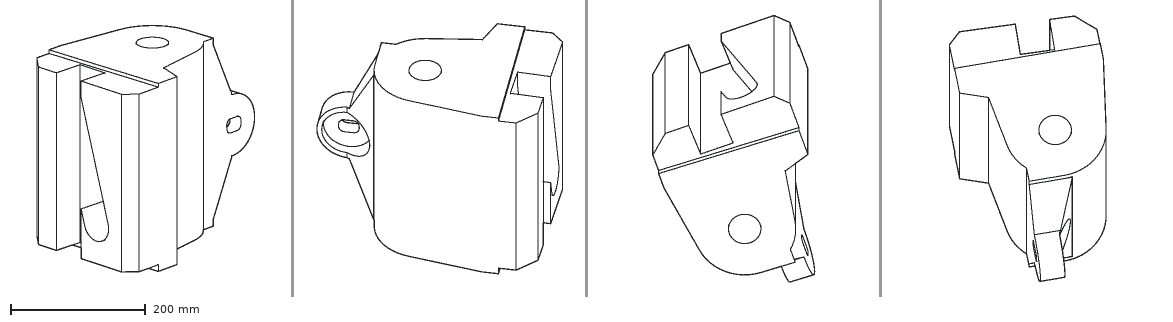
import cadquery as cq
import math

height = 296.0
crown_radius = 75.7
bore_diameter = 48.0
left_side = -92.0
right_side = 128.0
step_y = -127.0
shoulder_y = -85.5
neck_x, neck_y = 87.5, -70.7
flank_angle = 8.6

foot_bottom = 10.5
foot_top = 290.5
left_chamfer_y = -153.5
left_chamfer_x = -63.0
right_chamfer_y = -169.0
right_chamfer_x = 109.3
front_y = -187.5
skew_angle = 2.0

channel_right_x = 25.5
channel_width = 51.3
channel_depth = 50.2
hook_radius = 25.5
hook_x = 57.3
hook_z = 71.8
hook_lean = 16.9
hook_length = 198.0

lug_back_x = 53.5
lug_root_x = -11.5
lug_half_height = 137.0
eye_face_x = 16.3
eye_y = 118.0
eye_radius = 48.0
lug_neck_y = 116.7
recess_y = 120.5
recess_radius = 38.2
recess_depth = 15.0
window_length = 30.8
window_height = 22.3
window_corner = 8.5

mid_z = height / 2
skew_slope = math.tan(math.radians(skew_angle))
crown_x = crown_radius * math.cos(math.radians(flank_angle))
crown_y = crown_radius * math.sin(math.radians(flank_angle))
flank_slope = math.tan(math.radians(flank_angle))
flank_end_y = crown_y - (-left_side - crown_x) / flank_slope


def front_face_y(x):
    return front_y + (right_chamfer_x - x) * skew_slope


def make_body():
    main = (
        cq.Workplane("XY")
        .moveTo(left_side, step_y)
        .lineTo(left_side, flank_end_y)
        .lineTo(-crown_x, crown_y)
        .threePointArc((0, crown_radius), (crown_x, crown_y))
        .lineTo(neck_x, neck_y)
        .lineTo(right_side, shoulder_y)
        .lineTo(right_side, step_y)
        .close()
        .extrude(height)
    )
    corner = cq.Workplane("XY").rect(lug_back_x, crown_radius, centered=False).extrude(height)
    return main.union(corner)


def make_foot():
    outline = [
        (left_side, step_y),
        (left_side, left_chamfer_y),
        (left_chamfer_x, front_face_y(left_chamfer_x)),
        (right_chamfer_x, front_y),
        (right_side, right_chamfer_y),
        (right_side, step_y),
    ]
    foot = cq.Workplane("XY").polyline(outline).close().extrude(foot_top - foot_bottom)
    return foot.translate((0, 0, foot_bottom))


def make_channel_cutter():
    overrun = 17.7
    length = channel_depth + overrun
    channel = cq.Workplane("XY").box(channel_width, length, height, centered=False)
    channel = channel.translate((-channel_width, -overrun, 0))
    lean_plane = (
        cq.Workplane("XZ", origin=(0, channel_depth, 0))
        .center(hook_x - channel_right_x, hook_z)
        .transformed(rotate=(0, 0, hook_lean))
    )
    hook = lean_plane.circle(hook_radius).extrude(length)
    run = (
        lean_plane
        .center(0, hook_length / 2)
        .rect(2 * hook_radius, hook_length)
        .extrude(length)
    )
    cutter = channel.union(hook).union(run)
    cutter = cutter.rotate((0, 0, 0), (0, 0, 1), -skew_angle)
    return cutter.translate((channel_right_x, front_face_y(channel_right_x), 0))


def make_lug():
    plan = [
        (lug_root_x, crown_radius),
        (lug_root_x, 0),
        (lug_back_x, 0),
        (lug_back_x, eye_y + eye_radius),
        (eye_face_x, eye_y + eye_radius),
        (eye_face_x, recess_y),
    ]
    plate = cq.Workplane("XY").polyline(plan).close().extrude(height)
    silhouette_depth = lug_back_x - lug_root_x
    web = (
        cq.Workplane("YZ", origin=(lug_root_x, 0, mid_z))
        .polyline([
            (0, -lug_half_height),
            (crown_radius, -lug_half_height),
            (lug_neck_y, -eye_radius),
            (eye_y, -eye_radius),
            (eye_y, eye_radius),
            (lug_neck_y, eye_radius),
            (crown_radius, lug_half_height),
            (0, lug_half_height),
        ])
        .close()
        .extrude(silhouette_depth)
    )
    eye = (
        cq.Workplane("YZ", origin=(lug_root_x, eye_y, mid_z))
        .circle(eye_radius)
        .extrude(silhouette_depth)
    )
    return plate.intersect(web.union(eye))


def make_eye_cutter():
    recess = (
        cq.Workplane("YZ", origin=(lug_root_x, recess_y, mid_z))
        .circle(recess_radius)
        .extrude(eye_face_x + recess_depth - lug_root_x)
    )
    window = (
        cq.Workplane("YZ", origin=(lug_root_x, recess_y, mid_z))
        .rect(window_length, window_height)
        .extrude(lug_back_x - lug_root_x)
        .edges("|X")
        .fillet(window_corner)
    )
    return recess.union(window)


bore = cq.Workplane("XY").circle(bore_diameter / 2).extrude(height)

result = (
    make_body()
    .union(make_foot())
    .union(make_lug())
    .cut(make_eye_cutter())
    .cut(make_channel_cutter())
    .cut(bore)
)